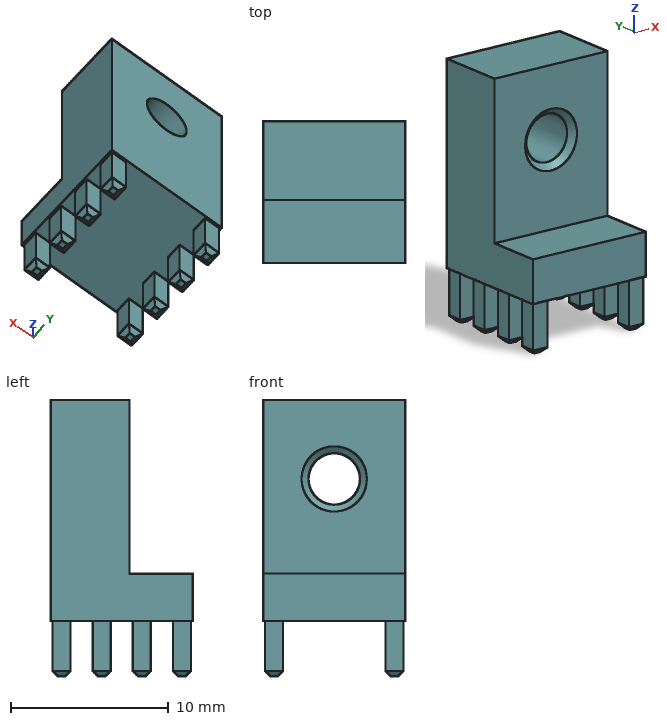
import cadquery as cq

width = 9.0
depth = 9.0
body_height = 14.0
upright_thickness = 5.0
foot_height = 3.0
foot_length = depth - upright_thickness

hole_diameter = 3.24
countersink_diameter = 4.13
countersink_depth = (countersink_diameter - hole_diameter) / 2
hole_below_top = 5.0
hole_height = body_height - hole_below_top

pin_pitch = 2.54
row_spacing = 3 * pin_pitch
rows = 2
pins_per_row = 4
pin_width = 1.15
pin_length = 3.5
tip_chamfer = 0.35


def make_body():
    """L-shaped block centred on X and Y, with its underside at Z = 0."""
    front = -depth / 2
    back = depth / 2
    upright_front = front + foot_length
    profile = [
        (front, 0),
        (back, 0),
        (back, body_height),
        (upright_front, body_height),
        (upright_front, foot_height),
        (front, foot_height),
    ]
    return cq.Workplane("YZ").polyline(profile).close().extrude(width / 2, both=True)


def make_hole():
    """Cutter for the hole along Y, with a 45 degree cone at its front end."""
    hole_radius = hole_diameter / 2
    countersink_radius = countersink_diameter / 2
    half_profile = [
        (0, 0),
        (countersink_radius, 0),
        (hole_radius, countersink_depth),
        (hole_radius, upright_thickness),
        (0, upright_thickness),
    ]
    cutter = cq.Workplane("XY").polyline(half_profile).close().revolve(360, (0, 0, 0), (0, 1, 0))
    return cutter.translate((0, foot_length - depth / 2, hole_height))


def make_pins():
    """All pins, hanging below the body, with their tips chamfered."""
    return (
        cq.Workplane("XY")
        .rarray(row_spacing, pin_pitch, rows, pins_per_row)
        .rect(pin_width, pin_width)
        .extrude(-pin_length)
        .faces("<Z")
        .chamfer(tip_chamfer)
    )


result = make_body().cut(make_hole()).union(make_pins())